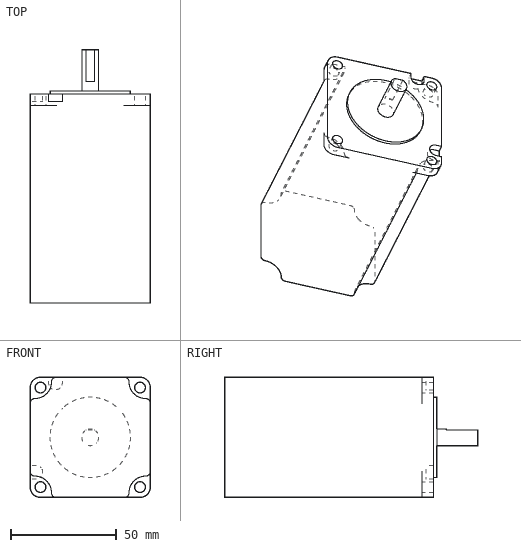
import cadquery as cq
import math


body_width = 57.0
total_length = 120.0

shaft_diameter = 8.0
shaft_reach = 21.0
flat_length = 15.0
flat_depth = 0.5
boss_diameter = 38.1
boss_height = 1.5

flange_thickness = 5.5
hole_spacing = 47.14
hole_diameter = 5.0

relief_inset = 2.25
relief_radius = 7.9
relief_edge_radius = relief_inset

notch_width = 6.5
notch_depth = 3.5
notch_floor_depth = 6.0
notch_offset = 16.5

half_width = body_width / 2
body_length = total_length - shaft_reach
corner_radius = half_width - hole_spacing / 2


def front_plane(y):
    """Sketch plane at the given Y: local x is X, local y is Z, extrusion runs toward -Y."""
    return cq.Workplane(cq.Plane(origin=(0, y, 0), xDir=(1, 0, 0), normal=(0, -1, 0)))


def make_flange():
    plate = front_plane(0).rect(body_width, body_width).extrude(flange_thickness)
    plate = plate.edges("|Y").fillet(corner_radius)
    holes = (
        front_plane(0)
        .rect(hole_spacing, hole_spacing, forConstruction=True)
        .vertices()
        .circle(hole_diameter / 2)
        .extrude(flange_thickness)
    )
    return plate.cut(holes)


def make_body():
    """Square body with a rounded-edge concave relief along each corner."""
    axis = half_width - relief_inset
    relief_end = axis - relief_radius
    side_start = relief_end - relief_edge_radius
    relief_mid = axis - relief_radius * math.sqrt(0.5)
    edge_mid = relief_edge_radius * (1 - math.sqrt(0.5))

    def turned(x, z, quarter):
        for _ in range(quarter):
            x, z = -z, x
        return x, z

    outline = front_plane(-flange_thickness).moveTo(half_width, -side_start)
    for quarter in range(4):
        outline = (
            outline
            .lineTo(*turned(half_width, side_start, quarter))
            .threePointArc(
                turned(half_width - edge_mid, relief_end - edge_mid, quarter),
                turned(axis, relief_end, quarter),
            )
            .threePointArc(
                turned(relief_mid, relief_mid, quarter),
                turned(relief_end, axis, quarter),
            )
            .threePointArc(
                turned(relief_end - edge_mid, half_width - edge_mid, quarter),
                turned(side_start, half_width, quarter),
            )
        )
    return outline.close().extrude(body_length - flange_thickness)


def make_boss():
    return front_plane(boss_height).circle(boss_diameter / 2).extrude(boss_height)


def make_shaft():
    radius = shaft_diameter / 2
    shaft = front_plane(shaft_reach).circle(radius).extrude(shaft_reach)
    flat = (
        front_plane(shaft_reach)
        .center(0, radius - flat_depth / 2)
        .rect(shaft_diameter, flat_depth)
        .extrude(flat_length)
    )
    return shaft.cut(flat)


def make_top_notch():
    """Round-bottomed notch, open to the top face and to the mounting face."""
    round_radius = notch_width / 2
    round_centre = half_width - notch_floor_depth + round_radius
    left = -notch_offset - round_radius
    right = -notch_offset + round_radius
    return (
        front_plane(0)
        .moveTo(left, half_width)
        .lineTo(left, round_centre)
        .threePointArc((-notch_offset, half_width - notch_floor_depth), (right, round_centre))
        .lineTo(right, half_width)
        .close()
        .extrude(notch_depth)
    )


def make_motor():
    motor = make_flange().union(make_body()).union(make_boss()).union(make_shaft())
    top_notch = make_top_notch()
    side_notch = top_notch.rotate((0, 0, 0), (0, 1, 0), -90)
    return motor.cut(top_notch).cut(side_notch)


result = make_motor()